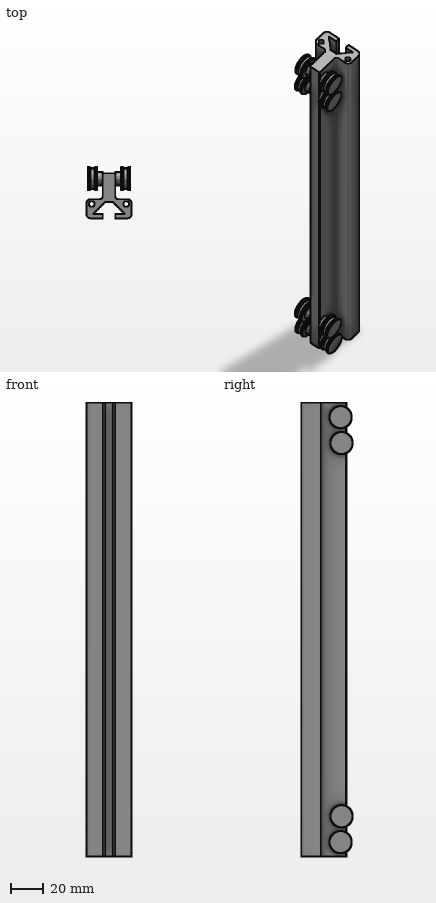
import cadquery as cq

rail_length = 280.0
rail_width = 28.0
rail_depth = 28.0
base_depth = 12.0
stem_width = 7.8
corner_radius = 2.8
stem_root_radius = 1.7
stem_tip_chamfer = 0.5

mouth_width = 7.5
lip_thickness = 2.8
slot_depth = 10.0
roof_width = 4.8

bore_diameter = 3.5
bore_x = 10.5
bore_y = 9.0

hub_diameter = 8.0
hub_length = 3.5
rim_diameter = 14.0
groove_diameter = 12.5
roller_width = 6.0
rim_width = 1.0
rim_chamfer = 0.3
groove_taper = 0.8
end_roller_y = 24.5
end_roller_inset = 9.0
inner_roller_y = 25.0
inner_roller_inset = 25.0


def make_rail():
    """Stem on a base with rounded outer corners and filleted stem roots, bevelled at the stem tip."""
    base = (
        cq.Workplane("XY")
        .rect(rail_width, base_depth)
        .extrude(rail_length)
        .edges("|Z")
        .fillet(corner_radius)
        .translate((0, base_depth / 2, 0))
    )
    half_stem = stem_width / 2
    half_root = half_stem + stem_root_radius
    stem = (
        cq.Workplane("XY")
        .moveTo(-half_root, base_depth)
        .radiusArc((-half_stem, base_depth + stem_root_radius), -stem_root_radius)
        .lineTo(-half_stem, rail_depth)
        .lineTo(half_stem, rail_depth)
        .lineTo(half_stem, base_depth + stem_root_radius)
        .radiusArc((half_root, base_depth), -stem_root_radius)
        .close()
        .extrude(rail_length)
        .faces(">Y")
        .edges("|Z")
        .chamfer(stem_tip_chamfer)
    )
    return base.union(stem)


def make_slot():
    """Dovetail slot: narrow mouth below a trapezoid that narrows towards its roof."""
    half_mouth = mouth_width / 2
    half_roof = roof_width / 2
    half_floor = half_roof + slot_depth - lip_thickness
    return (
        cq.Workplane("XY")
        .moveTo(-half_mouth, 0)
        .lineTo(-half_mouth, lip_thickness)
        .lineTo(-half_floor, lip_thickness)
        .lineTo(-half_roof, slot_depth)
        .lineTo(half_roof, slot_depth)
        .lineTo(half_floor, lip_thickness)
        .lineTo(half_mouth, lip_thickness)
        .lineTo(half_mouth, 0)
        .close()
        .extrude(rail_length)
    )


def make_bores():
    return (
        cq.Workplane("XY")
        .pushPoints([(-bore_x, bore_y), (bore_x, bore_y)])
        .circle(bore_diameter / 2)
        .extrude(rail_length)
    )


def make_roller():
    """Hub and grooved roller on the +X side, revolved about the X axis."""
    hub_start = stem_width / 2
    inner_face = hub_start + hub_length
    outer_face = inner_face + roller_width
    hub_radius = hub_diameter / 2
    rim_radius = rim_diameter / 2
    groove_radius = groove_diameter / 2
    face_radius = rim_radius - rim_chamfer
    inner_rim_end = inner_face + rim_width
    outer_rim_start = outer_face - rim_width
    return (
        cq.Workplane("XY")
        .moveTo(hub_start, 0)
        .lineTo(hub_start, hub_radius)
        .lineTo(inner_face, hub_radius)
        .lineTo(inner_face, face_radius)
        .lineTo(inner_face + rim_chamfer, rim_radius)
        .lineTo(inner_rim_end, rim_radius)
        .lineTo(inner_rim_end + groove_taper, groove_radius)
        .lineTo(outer_rim_start - groove_taper, groove_radius)
        .lineTo(outer_rim_start, rim_radius)
        .lineTo(outer_face - rim_chamfer, rim_radius)
        .lineTo(outer_face, face_radius)
        .lineTo(outer_face, 0)
        .close()
        .revolve(360, (0, 0, 0), (1, 0, 0))
    )


result = make_rail().cut(make_slot()).cut(make_bores())
roller = make_roller()
for roller_y, inset in ((end_roller_y, end_roller_inset), (inner_roller_y, inner_roller_inset)):
    for roller_z in (inset, rail_length - inset):
        placed_roller = roller.translate((0, roller_y, roller_z))
        result = result.union(placed_roller).union(placed_roller.mirror("YZ"))